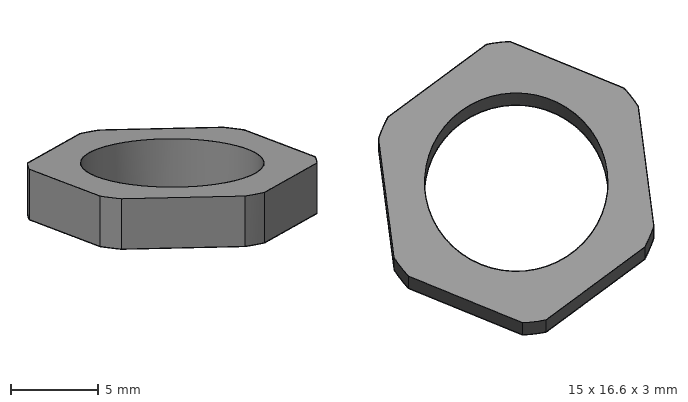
import cadquery as cq
import math

across_flats = 15.0
corner_diameter = 16.59
bore_diameter = 10.5
thickness = 3.0

across_sharp_corners = across_flats / math.cos(math.pi / 6)
hexagon = (
    cq.Workplane("XY")
    .transformed(rotate=(0, 0, 30))
    .polygon(6, across_sharp_corners)
    .extrude(thickness)
)

corner_cylinder = cq.Workplane("XY").circle(corner_diameter / 2).extrude(thickness)

bore = cq.Workplane("XY").circle(bore_diameter / 2).extrude(thickness)

result = hexagon.intersect(corner_cylinder).cut(bore)